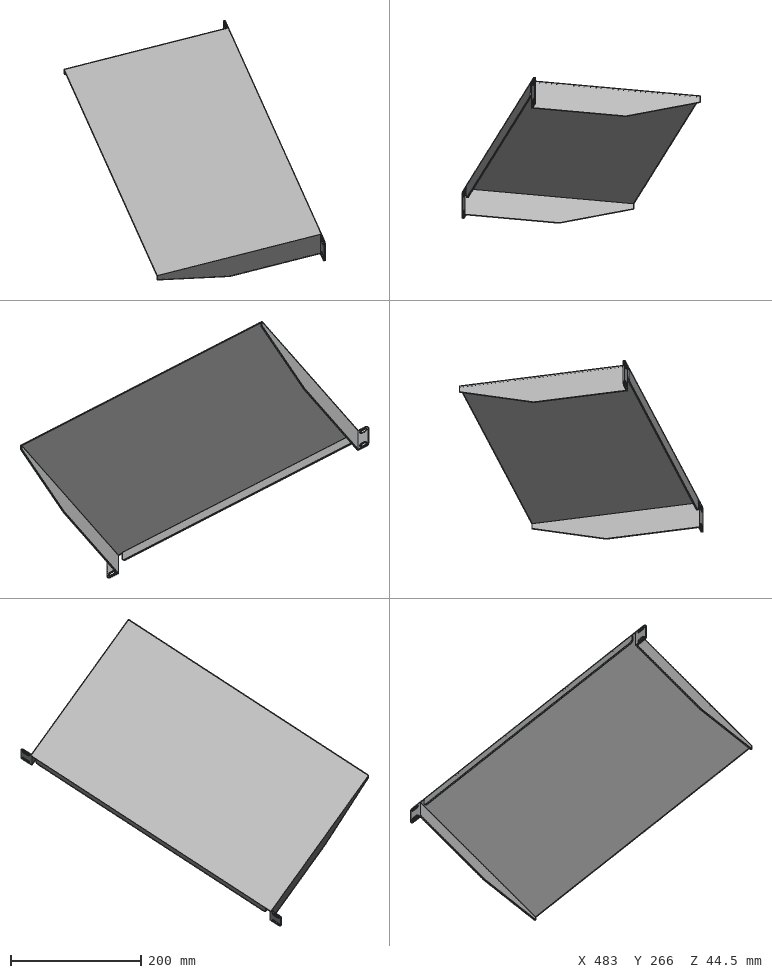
import cadquery as cq

overall_width = 483.0
depth = 266.0
height = 44.5
sheet = 2.0

tray_width = 446.5
wall_front_height = 10.0
wall_taper_length = 117.5

lip_width = 427.0
lip_height = 21.3
lip_radius = 6.0

ear_radius = 5.0
slot_length = 12.5
slot_height = 7.5
slot_edge_offset = 9.0
slot_pitch = 32.0

back = depth / 2
front = -depth / 2


def back_panel(width, panel_height):
    """Upright sheet on the back face, hanging down from the top face."""
    return cq.Workplane("XY").box(width, sheet, panel_height).translate(
        (0, back - sheet / 2, -panel_height / 2)
    )


def make_top():
    return cq.Workplane("XY").box(tray_width, depth, sheet).translate((0, 0, -sheet / 2))


def make_wall(side):
    """Side wall, full height at the back and tapering towards the front."""
    outline = [
        (back, 0),
        (back, -height),
        (front + wall_taper_length, -height),
        (front, -wall_front_height),
        (front, 0),
    ]
    wall = cq.Workplane("YZ").polyline(outline).close().extrude(sheet)
    left_face = tray_width / 2 - sheet if side > 0 else -tray_width / 2
    return wall.translate((left_face, 0, 0))


def make_lip():
    return back_panel(lip_width, lip_height).edges("|Y and <Z").fillet(lip_radius)


def make_ear(side):
    """Slotted rack ear, rounded at its two outer corners."""
    ear_inner = tray_width / 2 - sheet
    ear_width = overall_width / 2 - ear_inner
    ear_centre = side * (ear_inner + ear_width / 2)
    outer_corners = "|Y and >X" if side > 0 else "|Y and <X"
    ear = back_panel(ear_width, height).translate((ear_centre, 0, 0))
    ear = ear.edges(outer_corners).fillet(ear_radius)
    slot_x = side * (overall_width / 2 - slot_edge_offset)
    slots = (
        cq.Workplane("XZ", origin=(slot_x, back, -height / 2))
        .rarray(5, slot_pitch, 1, 2)
        .slot2D(slot_length, slot_height)
        .extrude(sheet)
    )
    return ear.cut(slots)


result = make_top().union(make_lip())
for side in (-1, 1):
    result = result.union(make_wall(side)).union(make_ear(side))